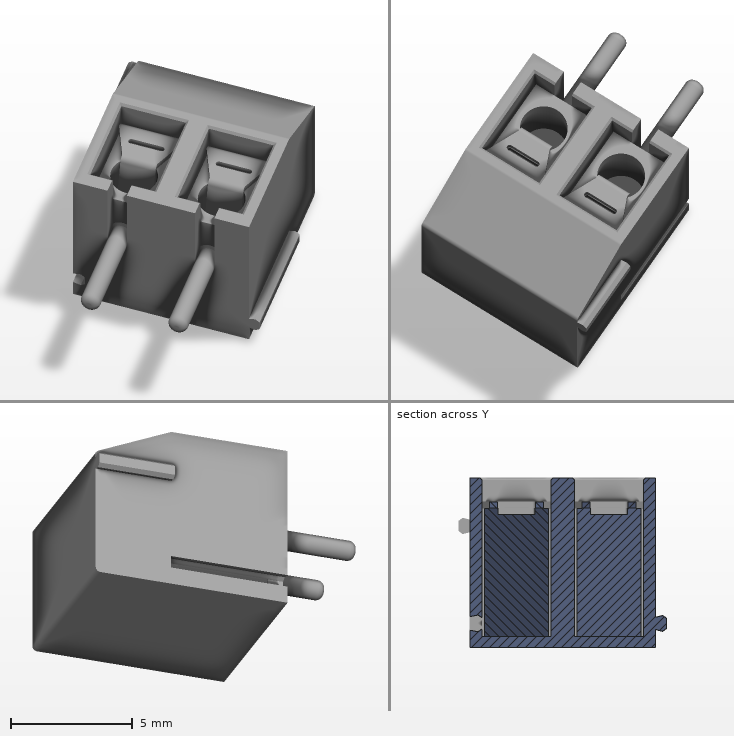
import cadquery as cq
import math


POLE_COUNT = 2
PITCH = 3.81
WIDTH = 7.66
DEPTH = 8.4
HEIGHT = 7.0
RIDGE_Y = 5.09
SLOPE_END_Z = 5.54
EDGE_RADIUS = 0.2

RAIL_REACH = 0.46
RAIL_WIDEST_AT = 0.28
RAIL_ROOT_HALF = 0.26
RAIL_WIDEST_HALF = 0.34
RAIL_TIP_HALF = 0.2
LOWER_RAIL_Z = 1.01
UPPER_RAIL_Z = 5.01
GROOVE_EXTRA = 0.07

CAVITY_WIDTH = 2.81
CAVITY_FRONT_Y = 0.68
CAVITY_BACK_Y = 4.64
CAVITY_FLOOR_Z = 0.48
CAVITY_CHAMFER = 0.1

PIN_RADIUS = 0.42
PIN_Z = 3.89
TOTAL_LENGTH = 12.01
PIN_REACH = TOTAL_LENGTH - DEPTH
PIN_TIP_RADIUS = 0.29
PIN_FLARE = 0.1

CAGE_WIDTH = 2.67
CAGE_TOP_Z = 5.75
CAGE_HOLE_RADIUS = 0.98
CAGE_HOLE_Y = 2.15
CAGE_HOLE_FLOOR_Z = 3.24

SHEET = 0.25
PLATE_TOP_Z = CAGE_TOP_Z + SHEET
TONGUE_BEND_Y = 2.87
TONGUE_WIDTH = 1.53
TONGUE_ANGLE = math.radians(77)
BACK_BEND_RADIUS = 0.3
LEG_BOTTOM_Z = PLATE_TOP_Z - BACK_BEND_RADIUS - SHEET
SLOT_LENGTH = 1.56
SLOT_WIDTH = 0.24
SLOT_LEDGE = 0.04
SLOT_Y = 3.7

POLE_XS = [(i - (POLE_COUNT - 1) / 2) * PITCH for i in range(POLE_COUNT)]


def box_between(x_min, x_max, y_min, y_max, z_min, z_max):
    size = (x_max - x_min, y_max - y_min, z_max - z_min)
    return cq.Workplane().box(*size, centered=False).translate((x_min, y_min, z_min))


def extrude_side_profile(sketch, width):
    """Extrude a closed YZ outline to the given width, centred on X = 0."""
    return sketch.extrude(width / 2, both=True)


def dovetail(wall_x, direction, z, y_min, y_max, extra_reach=0.0):
    """Dovetail bar along Y, standing on a side wall and reaching along +X or -X."""
    widest_x = wall_x + direction * (RAIL_WIDEST_AT + extra_reach)
    tip_x = wall_x + direction * (RAIL_REACH + extra_reach)
    outline = [
        (wall_x, z - RAIL_ROOT_HALF),
        (widest_x, z - RAIL_WIDEST_HALF),
        (tip_x, z - RAIL_TIP_HALF),
        (tip_x, z + RAIL_TIP_HALF),
        (widest_x, z + RAIL_WIDEST_HALF),
        (wall_x, z + RAIL_ROOT_HALF),
    ]
    bar = cq.Workplane("XZ", origin=(0, y_max, 0)).polyline(outline).close()
    return bar.extrude(y_max - y_min)


def make_pin(x):
    """Round pin with a flared foot against the cage and a rounded tip."""
    shaft = (
        cq.Workplane("XZ", origin=(x, CAVITY_FRONT_Y, PIN_Z))
        .circle(PIN_RADIUS)
        .extrude(CAVITY_FRONT_Y + PIN_REACH)
        .faces("<Y")
        .edges()
        .fillet(PIN_TIP_RADIUS)
    )
    flare = cq.Solid.makeCone(
        PIN_RADIUS + PIN_FLARE, PIN_RADIUS, PIN_FLARE,
        cq.Vector(x, CAVITY_FRONT_Y, PIN_Z), cq.Vector(0, -1, 0),
    )
    return shaft.union(cq.Workplane(flare))


def make_slot(x, top_z, length, width):
    """Round-ended slot, one sheet thickness deep, to be cut from a clip or a cage."""
    outline = cq.Workplane("XY", origin=(x, SLOT_Y, top_z)).slot2D(length, width)
    return outline.extrude(-SHEET)


def make_clip(x):
    """Bent sheet: short back leg, top plate narrowing towards the front, and a steep tongue."""
    bend_sin, bend_cos = math.sin(TONGUE_ANGLE), math.cos(TONGUE_ANGLE)
    half_sin, half_cos = math.sin(TONGUE_ANGLE / 2), math.cos(TONGUE_ANGLE / 2)

    bend_mid = (TONGUE_BEND_Y - SHEET * half_sin, CAGE_TOP_Z + SHEET * half_cos)
    bend_end = (TONGUE_BEND_Y - SHEET * bend_sin, CAGE_TOP_Z + SHEET * bend_cos)
    run_per_drop = bend_cos / bend_sin
    front_foot_y = bend_end[0] - (bend_end[1] - CAGE_HOLE_FLOOR_Z) * run_per_drop
    back_foot_y = TONGUE_BEND_Y - (CAGE_TOP_Z - CAGE_HOLE_FLOOR_Z) * run_per_drop

    tongue = (
        cq.Workplane("YZ")
        .moveTo(TONGUE_BEND_Y, PLATE_TOP_Z)
        .threePointArc(bend_mid, bend_end)
        .lineTo(front_foot_y, CAGE_HOLE_FLOOR_Z)
        .lineTo(back_foot_y, CAGE_HOLE_FLOOR_Z)
        .lineTo(TONGUE_BEND_Y, CAGE_TOP_Z)
        .close()
    )
    tongue = extrude_side_profile(tongue, TONGUE_WIDTH)

    plate_back_y = CAVITY_BACK_Y - BACK_BEND_RADIUS
    plate = (
        cq.Workplane("XY", origin=(0, 0, CAGE_TOP_Z))
        .polyline([
            (-TONGUE_WIDTH / 2, TONGUE_BEND_Y),
            (TONGUE_WIDTH / 2, TONGUE_BEND_Y),
            (CAVITY_WIDTH / 2, plate_back_y),
            (-CAVITY_WIDTH / 2, plate_back_y),
        ])
        .close()
        .extrude(SHEET)
    )
    slot = make_slot(0, PLATE_TOP_Z, SLOT_LENGTH, SLOT_WIDTH)

    back_leg = (
        cq.Workplane("YZ")
        .moveTo(plate_back_y, PLATE_TOP_Z)
        .radiusArc((CAVITY_BACK_Y, PLATE_TOP_Z - BACK_BEND_RADIUS), BACK_BEND_RADIUS)
        .lineTo(CAVITY_BACK_Y, LEG_BOTTOM_Z)
        .lineTo(CAVITY_BACK_Y - SHEET, LEG_BOTTOM_Z)
        .lineTo(CAVITY_BACK_Y - SHEET, PLATE_TOP_Z - BACK_BEND_RADIUS)
        .radiusArc((plate_back_y, CAGE_TOP_Z), -(BACK_BEND_RADIUS - SHEET))
        .close()
    )
    back_leg = extrude_side_profile(back_leg, CAVITY_WIDTH)

    return plate.cut(slot).union(tongue).union(back_leg).translate((x, 0, 0))


def make_cage(x, clip):
    """Block with a blind round vertical hole, fitted to the clip that wraps over it."""
    half_width = CAGE_WIDTH / 2
    block = box_between(
        x - half_width, x + half_width,
        CAVITY_FRONT_Y, CAVITY_BACK_Y,
        CAVITY_FLOOR_Z, CAGE_TOP_Z,
    )
    hole = (
        cq.Workplane("XY", origin=(x, CAGE_HOLE_Y, CAGE_HOLE_FLOOR_Z))
        .circle(CAGE_HOLE_RADIUS)
        .extrude(CAGE_TOP_Z - CAGE_HOLE_FLOOR_Z)
    )
    leg_notch = box_between(
        x - half_width, x + half_width,
        CAVITY_BACK_Y - SHEET, CAVITY_BACK_Y,
        LEG_BOTTOM_Z, CAGE_TOP_Z,
    )
    slot = make_slot(x, CAGE_TOP_Z, SLOT_LENGTH - 2 * SLOT_LEDGE, SLOT_WIDTH - 2 * SLOT_LEDGE)
    return block.cut(hole).cut(slot).cut(leg_notch).cut(clip)


def make_cavity(x):
    """Space removed from the housing for one contact, with a chamfered mouth."""
    half_width = CAVITY_WIDTH / 2
    pocket = box_between(
        x - half_width, x + half_width,
        CAVITY_FRONT_Y, CAVITY_BACK_Y,
        CAVITY_FLOOR_Z, HEIGHT,
    )
    length = CAVITY_BACK_Y - CAVITY_FRONT_Y
    mouth = (
        cq.Workplane("XY", origin=(x, CAVITY_FRONT_Y + length / 2, HEIGHT))
        .rect(CAVITY_WIDTH + 2 * CAVITY_CHAMFER, length + 2 * CAVITY_CHAMFER)
        .extrude(-CAVITY_CHAMFER, taper=45)
    )
    return pocket.union(mouth)


def make_pin_slot(x):
    """Slot through the front wall that lets the pin drop in from above."""
    return box_between(
        x - PIN_RADIUS, x + PIN_RADIUS,
        0, CAVITY_FRONT_Y,
        PIN_Z, HEIGHT,
    )


def make_housing(pins):
    profile = (
        cq.Workplane("YZ")
        .polyline([
            (0, 0),
            (DEPTH, 0),
            (DEPTH, SLOPE_END_Z),
            (RIDGE_Y, HEIGHT),
            (0, HEIGHT),
        ])
        .close()
    )
    body = extrude_side_profile(profile, WIDTH)
    body = body.edges("|X").edges("not <Y").fillet(EDGE_RADIUS)

    left_wall_x = -WIDTH / 2
    body = body.union(dovetail(left_wall_x, -1, UPPER_RAIL_Z, RIDGE_Y, DEPTH))
    body = body.union(dovetail(WIDTH / 2, 1, LOWER_RAIL_Z, 0, RIDGE_Y))
    body = body.cut(dovetail(left_wall_x, 1, LOWER_RAIL_Z, 0, RIDGE_Y, GROOVE_EXTRA))

    for x in POLE_XS:
        body = body.cut(make_cavity(x)).cut(make_pin_slot(x))
    for pin in pins:
        body = body.cut(pin)
    return body


pins = [make_pin(x) for x in POLE_XS]
clips = [make_clip(x) for x in POLE_XS]
cages = [make_cage(x, clip) for x, clip in zip(POLE_XS, clips)]
housing = make_housing(pins)

result = cq.Compound.makeCompound(
    [housing.val()] + [body.val() for body in pins + clips + cages]
)